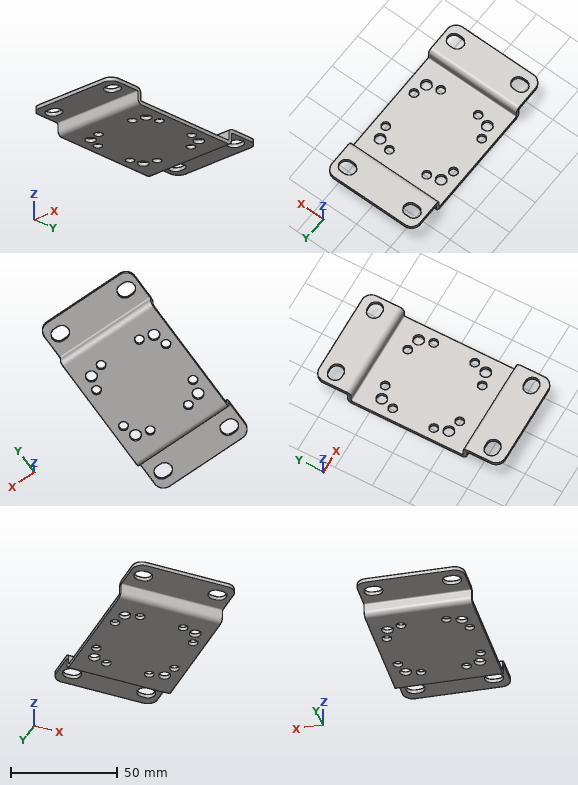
import cadquery as cq

length = 100.0
width = 52.0
height = 8.5
thickness = 2.0

tray_outer_length = 64.0
inner_bend_radius = 0.7
outer_bend_radius = inner_bend_radius + thickness
corner_radius = 5.0

slot_length = 9.0
slot_width = 7.2
slot_spacing_x = 38.0
slot_spacing_y = 84.0

large_hole_diameter = 5.5
large_hole_spacing = 36.0
small_hole_diameter = 4.5
small_hole_near_spacing = 22.0
small_hole_far_spacing = 40.0


def bent_plate():
    """Constant-thickness hat section, extruded across the width."""
    end = length / 2
    outer_wall = tray_outer_length / 2
    inner_wall = outer_wall - thickness
    flange_bottom = height - thickness
    profile = [
        (-end, height),
        (-inner_wall, height),
        (-inner_wall, thickness),
        (inner_wall, thickness),
        (inner_wall, height),
        (end, height),
        (end, flange_bottom),
        (outer_wall, flange_bottom),
        (outer_wall, 0),
        (-outer_wall, 0),
        (-outer_wall, flange_bottom),
        (-end, flange_bottom),
    ]
    plate = cq.Workplane("YZ").polyline(profile).close().extrude(width / 2, both=True)

    def bend_edges(y, z):
        """Pick the two mirrored bend edges at distance y from the middle."""
        margin = thickness / 4
        edges = plate.edges("|X")
        picked = []
        for side in (-1, 1):
            low = (-margin, side * y - margin, z - margin)
            high = (margin, side * y + margin, z + margin)
            picked += edges.edges(cq.selectors.BoxSelector(low, high)).vals()
        return picked

    outer_edges = bend_edges(inner_wall, height) + bend_edges(outer_wall, 0)
    inner_edges = bend_edges(inner_wall, thickness) + bend_edges(outer_wall, flange_bottom)
    solid = plate.val().fillet(outer_bend_radius, outer_edges)
    solid = solid.fillet(inner_bend_radius, inner_edges)
    return cq.Workplane("XY").newObject([solid])


def round_flange_corners(plate):
    """Trim the plate to a rounded rectangular outline."""
    outline = cq.Workplane("XY").rect(width, length).extrude(height)
    return plate.intersect(outline.edges("|Z").fillet(corner_radius))


def hole_pattern(spacing_x, spacing_y):
    """Four hole centres at the corners of a centred rectangle."""
    return cq.Workplane("XY").rect(spacing_x, spacing_y, forConstruction=True).vertices()


def round_holes(spacing_x, spacing_y, diameter):
    """Four cutters that pass through the full height."""
    return hole_pattern(spacing_x, spacing_y).circle(diameter / 2).extrude(height)


def flange_slots():
    """Four cutters elongated along X."""
    centres = hole_pattern(slot_spacing_x, slot_spacing_y)
    return centres.slot2D(slot_length, slot_width).extrude(height)


result = round_flange_corners(bent_plate())
result = result.cut(flange_slots())
result = result.cut(round_holes(large_hole_spacing, large_hole_spacing, large_hole_diameter))
result = result.cut(round_holes(small_hole_near_spacing, small_hole_far_spacing, small_hole_diameter))
result = result.cut(round_holes(small_hole_far_spacing, small_hole_near_spacing, small_hole_diameter))